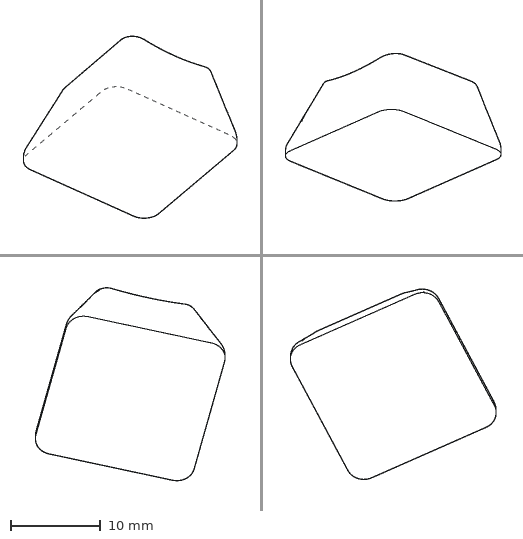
import cadquery as cq
import math

base_size = 18.16
corner_radius = 2.0

side_lean = 0.38
front_lean = 0.39
back_lean = 0.09
seam_height = 1.0
blank_height = 10.9

blend_radius = 1.5
blend_steps = 4
lean_angle = math.atan(side_lean)
blend_tangent = blend_radius * math.tan(lean_angle / 2)
blend_start = seam_height - blend_tangent
blend_end = seam_height + blend_tangent * math.cos(lean_angle)

dish_radius = 21.8
dish_bottom_height = 8.4
dish_tilt = 1.0
dish_length = 2 * base_size
top_edge_radius = 0.36


def cross_section(height, side_inset):
    """Rounded rectangle at a height; front and back insets follow their own leans."""
    front_inset = side_inset * front_lean / side_lean
    back_inset = side_inset * back_lean / side_lean
    width = base_size - 2 * side_inset
    depth = base_size - front_inset - back_inset
    center = cq.Vector(0, (front_inset - back_inset) / 2, height)
    outline = cq.Sketch().rect(width, depth).vertices().fillet(corner_radius)
    return outline.moved(cq.Location(center))


def blend_section(step):
    """Cross-section part way up the circular blend; step runs from 0 to blend_steps."""
    angle = lean_angle * step / blend_steps
    height = blend_start + blend_radius * math.sin(angle)
    side_inset = blend_radius * (1 - math.cos(angle))
    return cross_section(height, side_inset)


def make_skirt():
    return cq.Workplane("XY").placeSketch(cross_section(0, 0)).extrude(blend_start)


def make_blend():
    sections = [blend_section(step) for step in range(blend_steps + 1)]
    return cq.Workplane("XY").placeSketch(*sections).loft()


def make_tapered_body():
    top_inset = side_lean * (blank_height - seam_height)
    bottom = blend_section(blend_steps)
    top = cross_section(blank_height, top_inset)
    return cq.Workplane("XY").placeSketch(bottom, top).loft(ruled=True)


def make_dish_cutter():
    tilt = math.radians(dish_tilt)
    axis = cq.Vector(0, math.cos(tilt), math.sin(tilt))
    axis_height = dish_bottom_height + dish_radius / math.cos(tilt)
    start = cq.Vector(0, 0, axis_height) - axis * (dish_length / 2)
    return cq.Workplane(cq.Solid.makeCylinder(dish_radius, dish_length, start, axis))


blank = make_skirt().union(make_blend()).union(make_tapered_body())
dished = blank.cut(make_dish_cutter())

result = dished.faces(">Z").edges().fillet(top_edge_radius)